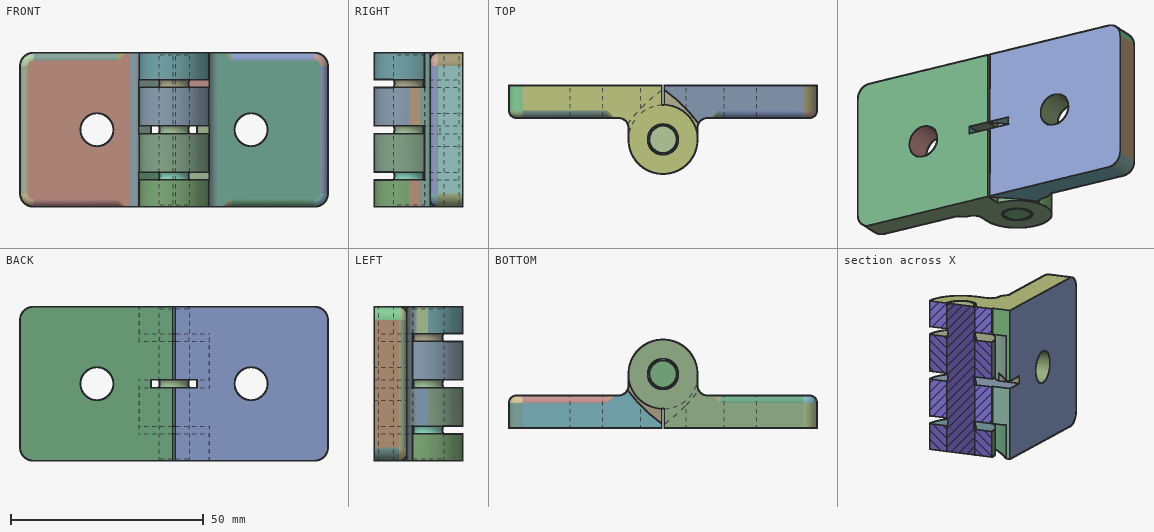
import cadquery as cq
import math

LENGTH = 80.0
HEIGHT = 40.0
BARREL_RADIUS = 18.0 / 2
BACK_Y = 14.0
PLATE_THICKNESS = 8.5
FRONT_Y = BACK_Y - PLATE_THICKNESS
LEAF_GAP = 0.6

CORNER_RADIUS = 3.5
EDGE_RADIUS = 2.0
RUNOUT_START = 14.9
RUNOUT_END = 12.0
RUNOUT_STEPS = 6
RUNOUT_END_RADIUS = 0.04
SCREW_HOLE_DIAMETER = 8.5
SCREW_HOLE_X = LENGTH / 4
NECK_RADIUS = 2.5
NECK_END = BARREL_RADIUS + NECK_RADIUS

KNUCKLE_GAP = 2.0
INNER_KNUCKLE = 10.0
END_KNUCKLE = HEIGHT / 2 - INNER_KNUCKLE - 1.5 * KNUCKLE_GAP
RELIEF_TOP_Y = 13.1
RELIEF_MID = (6.4, 7.5)
RELIEF_END_X = 9.2
RELIEF_END_Y = 4.2
WINDOW_HALF_WIDTH = 5.9

PIN_DIAMETER = 8.0
PIN_CHAMFER = 0.5
WAIST_DIAMETER = 7.5

top = HEIGHT / 2
KNUCKLES = [
    (top - END_KNUCKLE, top),
    (KNUCKLE_GAP / 2, KNUCKLE_GAP / 2 + INNER_KNUCKLE),
    (-KNUCKLE_GAP / 2 - INNER_KNUCKLE, -KNUCKLE_GAP / 2),
    (-top, -top + END_KNUCKLE),
]


def block(x_range, y_range, z_range):
    """Box between the given limits."""
    size = [high - low for low, high in (x_range, y_range, z_range)]
    return cq.Workplane("XY").box(*size, centered=False).translate(
        (x_range[0], y_range[0], z_range[0])
    )


def plate():
    """Left plate: rounded rim on its three free sides, ending where the rim fades."""
    outer = block((-LENGTH / 2, -RUNOUT_START), (FRONT_Y, BACK_Y), (-HEIGHT / 2, HEIGHT / 2))
    outer = outer.edges("|Y and <X").fillet(CORNER_RADIUS)
    rim = outer.faces("<Y").edges("not >X")
    outer = rim.fillet(EDGE_RADIUS)
    inner = block((-RUNOUT_START, -LEAF_GAP / 2), (FRONT_Y, BACK_Y), (-HEIGHT / 2, HEIGHT / 2))
    fade = rim_runout()
    inner = inner.cut(fade).cut(fade.mirror("XY"))
    return outer.union(inner)


def rim_runout():
    """Waste at the upper front edge, whose rounding shrinks smoothly towards the barrel."""
    sections = cq.Workplane("YZ", origin=(-RUNOUT_START, 0, 0))
    step = (RUNOUT_START - RUNOUT_END) / RUNOUT_STEPS
    edge_z = HEIGHT / 2
    for index in range(RUNOUT_STEPS + 1):
        fade = (1 + math.cos(math.pi * index / RUNOUT_STEPS)) / 2
        radius = RUNOUT_END_RADIUS + (EDGE_RADIUS - RUNOUT_END_RADIUS) * fade
        inset = radius * (1 - math.sqrt(0.5))
        if index > 0:
            sections = sections.workplane(offset=step)
        sections = (
            sections.moveTo(FRONT_Y, edge_z)
            .lineTo(FRONT_Y + radius, edge_z)
            .threePointArc((FRONT_Y + inset, edge_z - inset), (FRONT_Y, edge_z - radius))
            .close()
        )
    return sections.loft()


def barrel():
    """Full-height barrel joined to the left plate through a concave neck."""
    inset = NECK_RADIUS * (1 - math.sqrt(0.5))
    return (
        cq.Workplane("XY", origin=(0, 0, -HEIGHT / 2))
        .moveTo(-LEAF_GAP / 2, FRONT_Y)
        .lineTo(-NECK_END, FRONT_Y)
        .threePointArc(
            (-BARREL_RADIUS - inset, FRONT_Y - inset),
            (-BARREL_RADIUS, FRONT_Y - NECK_RADIUS),
        )
        .lineTo(-BARREL_RADIUS, 0)
        .lineTo(-LEAF_GAP / 2, 0)
        .close()
        .extrude(HEIGHT)
        .union(cq.Workplane("XY").circle(BARREL_RADIUS).extrude(HEIGHT / 2, both=True))
    )


def relief(z_range):
    """Space cleared from the left leaf for a mating knuckle and the gaps beside it."""
    low, high = z_range
    return (
        cq.Workplane("XY", origin=(0, 0, low))
        .moveTo(0, RELIEF_TOP_Y)
        .threePointArc((-RELIEF_MID[0], RELIEF_MID[1]), (-RELIEF_END_X, RELIEF_END_Y))
        .lineTo(-RELIEF_END_X, -BARREL_RADIUS)
        .lineTo(BARREL_RADIUS, -BARREL_RADIUS)
        .lineTo(BARREL_RADIUS, RELIEF_TOP_Y)
        .close()
        .extrude(high - low)
    )


def left_leaf(mating_knuckles):
    """Leaf on the -X side, relieved at the knuckles that belong to the other leaf."""
    leaf = plate().union(barrel())
    for low, high in mating_knuckles:
        leaf = leaf.cut(
            relief((max(low - KNUCKLE_GAP, -HEIGHT / 2), min(high + KNUCKLE_GAP, HEIGHT / 2)))
        )
    leaf = leaf.cut(
        block((-WINDOW_HALF_WIDTH, 0), (0, BACK_Y), (-KNUCKLE_GAP / 2, KNUCKLE_GAP / 2))
    )
    leaf = leaf.cut(cq.Workplane("XY").circle(PIN_DIAMETER / 2).extrude(HEIGHT / 2, both=True))
    screw_hole = (
        cq.Workplane("XZ", origin=(-SCREW_HOLE_X, BACK_Y, 0))
        .circle(SCREW_HOLE_DIAMETER / 2)
        .extrude(PLATE_THICKNESS)
    )
    return leaf.cut(screw_hole)


def hinge_pin():
    """Full-height pin with chamfered ends and a shallow concave waist in each knuckle gap."""
    radius = PIN_DIAMETER / 2
    end_z = HEIGHT / 2
    outline = (
        cq.Workplane("XZ")
        .moveTo(0, end_z)
        .lineTo(radius - PIN_CHAMFER, end_z)
        .lineTo(radius, end_z - PIN_CHAMFER)
    )
    for (upper_bottom, _), (_, lower_top) in zip(KNUCKLES, KNUCKLES[1:]):
        waist = (WAIST_DIAMETER / 2, (upper_bottom + lower_top) / 2)
        outline = outline.lineTo(radius, upper_bottom).threePointArc(waist, (radius, lower_top))
    outline = (
        outline.lineTo(radius, -end_z + PIN_CHAMFER)
        .lineTo(radius - PIN_CHAMFER, -end_z)
        .lineTo(0, -end_z)
        .close()
    )
    return outline.revolve(360, (0, 0, 0), (0, 1, 0))


leaf_left = left_leaf(KNUCKLES[1::2])
leaf_right = left_leaf(KNUCKLES[0::2]).mirror("YZ")
pin = hinge_pin()

result = cq.Compound.makeCompound([leaf_left.val(), leaf_right.val(), pin.val()])